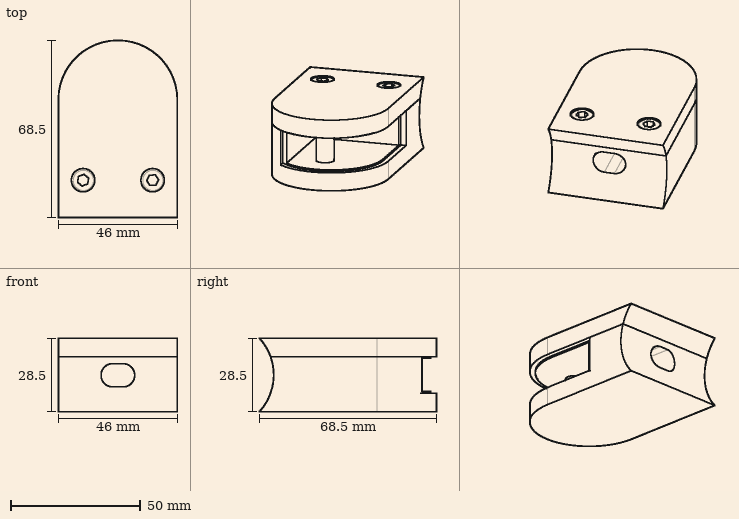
import cadquery as cq
import math

length = 68.5
end_radius = 23.0
arc_center_y = length - end_radius
height = 28.5

cover_thickness = 7.25
cover_bottom = height - cover_thickness
floor_thickness = 7.25
saddle_radius = 20.95

gap_height = cover_bottom - floor_thickness
gap_start_y = 22.55
gap_side_x = 15.0

liner_setback = 2.1
liner_radius = end_radius - liner_setback
liner_sheet = 0.6
liner_back = 2.55
liner_side = 2.05

pin_diameter = 7.0
pin_y = 53.5

slot_width = 13.0
slot_height = 9.0
slot_center_z = 14.1

screw_x = 13.4
screw_y = 14.45
recess_radius = 4.5
head_drop = 0.2
head_rounding = 0.6
socket_across_flats = 4.0
socket_depth = 2.6
socket_angle_by_x = {-screw_x: 20.5, screw_x: 2.5}


def rounded_plate(radius, start_y, bottom_z, thickness):
    """Plate from start_y to the half-round end of the given radius."""
    return (
        cq.Workplane("XY", origin=(0, 0, bottom_z))
        .moveTo(-radius, start_y)
        .lineTo(radius, start_y)
        .lineTo(radius, arc_center_y)
        .threePointArc((0, arc_center_y + radius), (-radius, arc_center_y))
        .close()
        .extrude(thickness)
    )


def box_between(x_range, y_range, z_range):
    """Axis-aligned box given by its limits along each axis."""
    size = [high - low for low, high in (x_range, y_range, z_range)]
    corner = (x_range[0], y_range[0], z_range[0])
    return cq.Workplane("XY").box(*size, centered=False).translate(corner)


def tube_seat():
    """Horizontal cylinder whose surface meets the top and bottom near edges."""
    axis_y = -math.sqrt(saddle_radius**2 - (height / 2) ** 2)
    return (
        cq.Workplane("YZ", origin=(-end_radius, 0, 0))
        .center(axis_y, height / 2)
        .circle(saddle_radius)
        .extrude(2 * end_radius)
    )


def glass_gap():
    """Unlined gap between the base floor and the cover."""
    return box_between(
        (-end_radius, gap_side_x), (gap_start_y, length), (floor_thickness, cover_bottom)
    )


def make_base():
    body = rounded_plate(end_radius, 0, 0, cover_bottom).cut(tube_seat())
    slot = (
        cq.Workplane("XZ", origin=(0, 0, slot_center_z))
        .slot2D(slot_width, slot_height)
        .extrude(-gap_start_y)
    )
    return body.cut(glass_gap()).cut(slot)


def make_liner():
    lining = rounded_plate(liner_radius, gap_start_y, floor_thickness, gap_height)
    opening = box_between(
        (-end_radius, gap_side_x - liner_side),
        (gap_start_y + liner_back, length),
        (floor_thickness + liner_sheet, cover_bottom - liner_sheet),
    )
    pin = (
        cq.Workplane("XY", origin=(0, pin_y, floor_thickness))
        .circle(pin_diameter / 2)
        .extrude(gap_height)
    )
    return lining.intersect(glass_gap()).cut(opening).union(pin)


def screw_recess(x):
    """Material removed above a screw head and around its rounded rim."""
    head_top = height - head_drop
    flat_radius = recess_radius - head_rounding
    arc_offset = head_rounding * math.sin(math.pi / 4)
    return (
        cq.Workplane("XZ")
        .moveTo(0, height)
        .lineTo(recess_radius, height)
        .lineTo(recess_radius, head_top - head_rounding)
        .threePointArc(
            (flat_radius + arc_offset, head_top - head_rounding + arc_offset),
            (flat_radius, head_top),
        )
        .lineTo(0, head_top)
        .close()
        .revolve(360, (0, 0, 0), (0, 1, 0))
        .translate((x, screw_y, 0))
    )


def hex_socket(x, angle):
    """Hexagonal key socket sunk into a screw head."""
    across_corners = socket_across_flats / math.cos(math.pi / 6)
    return (
        cq.Workplane("XY")
        .polygon(6, across_corners)
        .extrude(-head_drop - socket_depth)
        .rotate((0, 0, 0), (0, 0, 1), angle)
        .translate((x, screw_y, height))
    )


def make_cover():
    body = rounded_plate(end_radius, 0, cover_bottom, cover_thickness).cut(tube_seat())
    for x, angle in socket_angle_by_x.items():
        body = body.cut(screw_recess(x)).cut(hex_socket(x, angle))
    return body


base = make_base()
liner = make_liner()
cover = make_cover()

result = cq.Compound.makeCompound([base.val(), liner.val(), cover.val()])